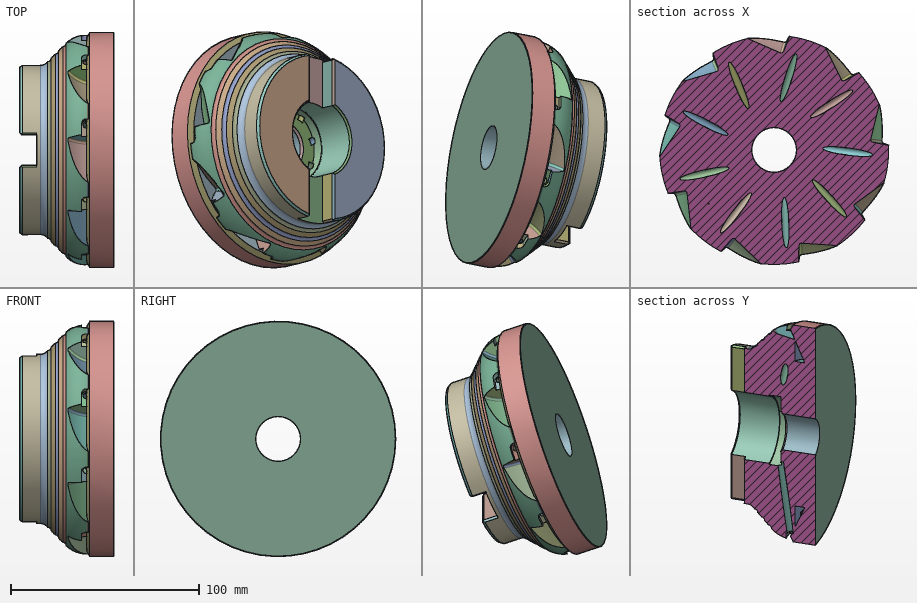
import cadquery as cq
import math

length = 50.0
rim_radius = 62.5
shank_radius = 45.0
teeth = 9
tooth_pitch = 360.0 / teeth

shank_length = 11.0
shank_chamfer_length = 1.5
shank_chamfer_depth = 1.0
key_slot_width = 16.0
key_slot_depth = 9.0
key_slot_chamfer = 1.2
bore_radius = 20.0
bore_depth = 30.0
bore_chamfer = 1.0
bore_fit_length = 23.5
undercut_radius = 20.6
bolt_hole_radius = 11.8
bolt_hole_chamfer = 1.2

flare_end = (14.9, 47.0)
groove_round = 1.75
step_chamfer = 2.25
step_count = 3

crown_peak_x = 35.9
crown_peak_radius = 61.2
crown_end_x = 38.5
lip_face_x = 35.5
lip_radius = 59.5
lip_chamfer_length = 1.7
lip_undercut_angle = 25.0
rim_inner_radius = 42.0
rim_back_chamfer = 0.3

pocket_tip = (25.5, 57.2, 16.2)
pocket_root = (lip_face_x, 50.2, 14.8)
pocket_wall_top = (lip_face_x, crown_peak_radius, 17.9)
pocket_cutter_radius = 22.0
pocket_cutter_length = 36.0
pocket_root_fillet = 1.2

relief_radius = 2.6
relief_angle = 23.3
relief_floor_radius = 58.0
relief_length = 9.0
relief_under_lip = 3.0
coolant_radius = 1.8
coolant_inlet_inset = 1.6
coolant_inlet = (bore_depth, bore_radius - coolant_inlet_inset, 14.2)
coolant_outlet = (lip_face_x, relief_floor_radius, relief_angle)


def polar_point(place):
    """Point from axial position, radius and angle from -Y toward +Z."""
    x, radius, angle = place
    turn = math.radians(angle)
    return cq.Vector(x, -radius * math.cos(turn), radius * math.sin(turn))


def repeat_around(tool):
    """Copies of a cutting tool, one per tooth."""
    return [
        tool.rotate((0, 0, 0), (1, 0, 0), index * tooth_pitch)
        for index in range(teeth)
    ]


def make_blank():
    """Turned outline: shank, flare, rounded steps, crown and core, solid to the axis."""
    outline = (
        cq.Workplane("XY")
        .moveTo(0, 0)
        .lineTo(0, shank_radius - shank_chamfer_depth)
        .lineTo(shank_chamfer_length, shank_radius)
        .lineTo(shank_length, shank_radius)
        .tangentArcPoint(flare_end, relative=False)
    )
    x, radius = flare_end
    for step in range(step_count):
        if step > 0:
            x += step_chamfer
            radius += step_chamfer
            outline = outline.lineTo(x, radius)
        round_middle = (
            x + groove_round * math.sqrt(0.5),
            radius + groove_round * (1 - math.sqrt(0.5)),
        )
        x += groove_round
        radius += groove_round
        outline = outline.threePointArc(round_middle, (x, radius))
    crown_run = crown_peak_x - x
    crown_drop = crown_peak_radius - radius
    crown_arc = (crown_run**2 + crown_drop**2) / (2 * crown_drop)
    middle_turn = math.asin(crown_run / crown_arc) / 2
    crown_middle = (
        crown_peak_x - crown_arc * math.sin(middle_turn),
        crown_peak_radius - crown_arc * (1 - math.cos(middle_turn)),
    )
    outline = (
        outline.threePointArc(crown_middle, (crown_peak_x, crown_peak_radius))
        .lineTo(crown_end_x, crown_peak_radius)
        .lineTo(crown_end_x, rim_inner_radius)
        .lineTo(length, rim_inner_radius)
        .lineTo(length, 0)
        .close()
    )
    return outline.revolve(360, (0, 0, 0), (1, 0, 0))


def make_rim():
    """Rim ring with a chamfered lip; its inner flank leans away behind the pockets."""
    lean = math.tan(math.radians(lip_undercut_angle))
    flank_end_x = lip_face_x + (lip_radius - rim_inner_radius) * lean
    return (
        cq.Workplane("XY")
        .moveTo(flank_end_x, rim_inner_radius)
        .lineTo(lip_face_x, lip_radius)
        .lineTo(lip_face_x + lip_chamfer_length, rim_radius)
        .lineTo(length - rim_back_chamfer, rim_radius)
        .lineTo(length, rim_radius - rim_back_chamfer)
        .lineTo(length, rim_inner_radius)
        .close()
        .revolve(360, (0, 0, 0), (1, 0, 0))
    )


def make_bore():
    """Stepped bore along X: fit, undercut and bolt hole, with chamfered mouths."""
    return (
        cq.Workplane("XY")
        .moveTo(0, 0)
        .lineTo(0, bore_radius + bore_chamfer)
        .lineTo(bore_chamfer, bore_radius)
        .lineTo(bore_fit_length, bore_radius)
        .lineTo(bore_fit_length, undercut_radius)
        .lineTo(bore_depth, undercut_radius)
        .lineTo(bore_depth, bolt_hole_radius + bolt_hole_chamfer)
        .lineTo(bore_depth + bolt_hole_chamfer, bolt_hole_radius)
        .lineTo(length, bolt_hole_radius)
        .lineTo(length, 0)
        .close()
        .revolve(360, (0, 0, 0), (1, 0, 0))
    )


def make_key_slot():
    """Driving slot across the mounting face along Z, with chamfered edges."""
    half = key_slot_width / 2
    slot = (
        cq.Workplane("XY")
        .moveTo(0, -half - key_slot_chamfer)
        .lineTo(key_slot_chamfer, -half)
        .lineTo(key_slot_depth, -half)
        .lineTo(key_slot_depth, half)
        .lineTo(key_slot_chamfer, half)
        .lineTo(0, half + key_slot_chamfer)
        .close()
        .extrude(rim_radius, both=True)
    )
    corner_z = math.sqrt(shank_radius**2 - half**2)
    inner_z = corner_z - key_slot_chamfer
    outer_z = corner_z + key_slot_chamfer
    outer_half = half + 2 * key_slot_chamfer
    mouth = (
        cq.Workplane("YZ")
        .moveTo(-half, inner_z)
        .lineTo(half, inner_z)
        .lineTo(outer_half, outer_z)
        .lineTo(-outer_half, outer_z)
        .close()
        .extrude(key_slot_depth)
    )
    return slot.union(mouth).union(mouth.mirror("XY"))


def make_pocket():
    """Cylinder on the steep wall, its rounded end edge forming the pocket root."""
    root = polar_point(pocket_root)
    tip = polar_point(pocket_tip)
    chord = tip - root
    along = chord.normalized()
    wall = polar_point(pocket_wall_top) - root
    outward = (wall - along * wall.dot(along)).normalized()
    axis = outward.cross(along)
    reach = math.sqrt(pocket_cutter_radius**2 - (chord.Length / 2) ** 2)
    center = root + chord * 0.5 + outward * reach
    cutter = cq.Solid.makeCylinder(pocket_cutter_radius, pocket_cutter_length, center, axis)
    end_edge = min(cutter.Edges(), key=lambda edge: (edge.Center() - center).Length)
    return cutter.fillet(pocket_root_fillet, [end_edge])


def make_relief():
    """Round-ended slot under the rim lip, opening into the pocket past its wall."""
    height = rim_radius - relief_floor_radius
    plane = cq.Plane(
        origin=polar_point((lip_face_x, relief_floor_radius, relief_angle)).toTuple(),
        xDir=(1, 0, 0),
        normal=polar_point((0, 1, relief_angle)).toTuple(),
    )
    slot = (
        cq.Workplane(plane)
        .moveTo(relief_under_lip, relief_radius)
        .lineTo(0, relief_radius)
        .threePointArc(
            (-relief_radius * math.sqrt(0.5), relief_radius * math.sqrt(0.5)),
            (-relief_radius, 0),
        )
        .lineTo(-relief_radius, -relief_length)
        .lineTo(relief_under_lip, -relief_length)
        .close()
        .extrude(height)
    )
    return slot.val()


def make_coolant_hole():
    """Straight hole from the bore floor corner out to the relief slot."""
    inlet = polar_point(coolant_inlet)
    path = polar_point(coolant_outlet) - inlet
    return cq.Solid.makeCylinder(coolant_radius, path.Length, inlet, path)


crown = make_blank()
for tool in (make_pocket(), make_relief()):
    for copy in repeat_around(tool):
        crown = crown.cut(cq.Workplane(copy))

body = crown.union(make_rim()).cut(make_bore()).cut(make_key_slot())
for hole in repeat_around(make_coolant_hole()):
    body = body.cut(cq.Workplane(hole))

result = body